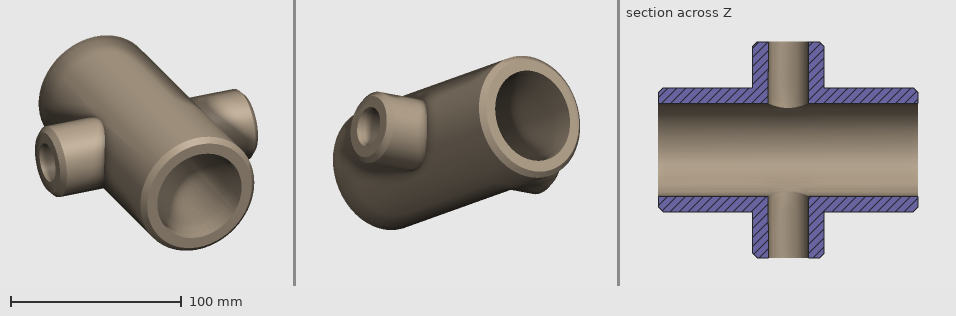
import cadquery as cq

main_length = 152.4
main_outer_diameter = 73.2
main_bore_diameter = 54.1

branch_length = 127.0
branch_outer_diameter = 42.4
branch_bore_diameter = 23.2

end_chamfer = 3.0


def centred_cylinder(plane, diameter, length):
    """Cylinder through the origin, centred along the normal of the plane."""
    return cq.Workplane(plane).circle(diameter / 2).extrude(length / 2, both=True)


def bevelled_bar(plane, diameter, length):
    """Solid bar with both end edges chamfered."""
    bar = centred_cylinder(plane, diameter, length)
    return bar.edges("%CIRCLE").chamfer(end_chamfer)


body = bevelled_bar("YZ", main_outer_diameter, main_length).union(
    bevelled_bar("XZ", branch_outer_diameter, branch_length)
)
main_bore = centred_cylinder("YZ", main_bore_diameter, main_length)
branch_bore = centred_cylinder("XZ", branch_bore_diameter, branch_length)

result = body.cut(main_bore).cut(branch_bore)